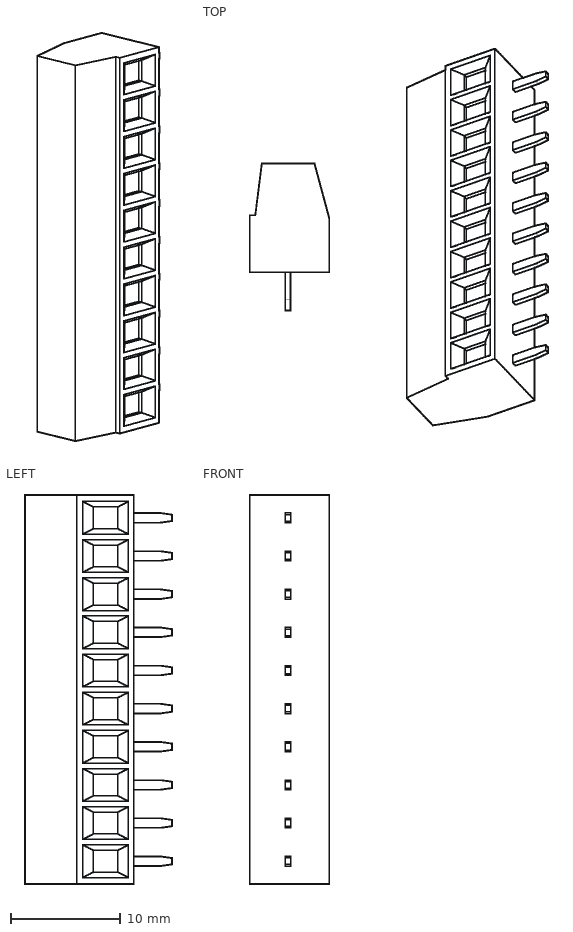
import cadquery as cq

pitch = 3.5
pole_count = 10
end_margin = 0.35
housing_length = pole_count * pitch + 2 * end_margin
housing_width = 7.3
housing_depth = 10.0
entry_face_x = -3.5
rear_face_x = entry_face_x + housing_width

ledge_y = 5.25
ledge_width = 0.5
rear_slope_y = 5.0
crown_inset = 1.1
crown_width = 4.85

funnel_height = 3.0
funnel_width = 4.2
funnel_depth = 0.8
funnel_center_y = 2.6
pocket_height = 2.0
pocket_width = 2.25
pocket_depth = 0.4

pin_thickness = 0.5
pin_height = 0.9
pin_length = 3.5
tip_length = 1.05
tip_height = 0.6


def make_housing():
    crown_start_x = entry_face_x + crown_inset
    profile = [
        (entry_face_x, 0),
        (rear_face_x, 0),
        (rear_face_x, rear_slope_y),
        (crown_start_x + crown_width, housing_depth),
        (crown_start_x, housing_depth),
        (entry_face_x + ledge_width, ledge_y),
        (entry_face_x, ledge_y),
    ]
    return cq.Workplane("XY").polyline(profile).close().extrude(housing_length)


def make_wire_entry(center_z):
    """Cutter for one wire entry, running along +X from the entry face."""
    mouth = cq.Workplane("YZ", origin=(entry_face_x, funnel_center_y, center_z))
    funnel = (
        mouth.rect(funnel_width, funnel_height)
        .workplane(offset=funnel_depth)
        .rect(pocket_width, pocket_height)
        .loft(ruled=True)
    )
    pocket = (
        mouth.workplane(offset=funnel_depth)
        .rect(pocket_width, pocket_height)
        .extrude(pocket_depth)
    )
    return funnel.union(pocket)


def make_pin(center_z):
    """Blade pin standing out of the Y = 0 face, with its tip towards -Y."""
    shoulder_y = tip_length - pin_length
    blade = [
        (0, pin_height / 2),
        (shoulder_y, pin_height / 2),
        (-pin_length, tip_height / 2),
        (-pin_length, -tip_height / 2),
        (shoulder_y, -pin_height / 2),
        (0, -pin_height / 2),
    ]
    return (
        cq.Workplane("YZ", origin=(0, 0, center_z))
        .polyline(blade)
        .close()
        .extrude(pin_thickness / 2, both=True)
    )


result = make_housing()
for pole in range(pole_count):
    pole_z = end_margin + pitch / 2 + pole * pitch
    result = result.cut(make_wire_entry(pole_z)).union(make_pin(pole_z))